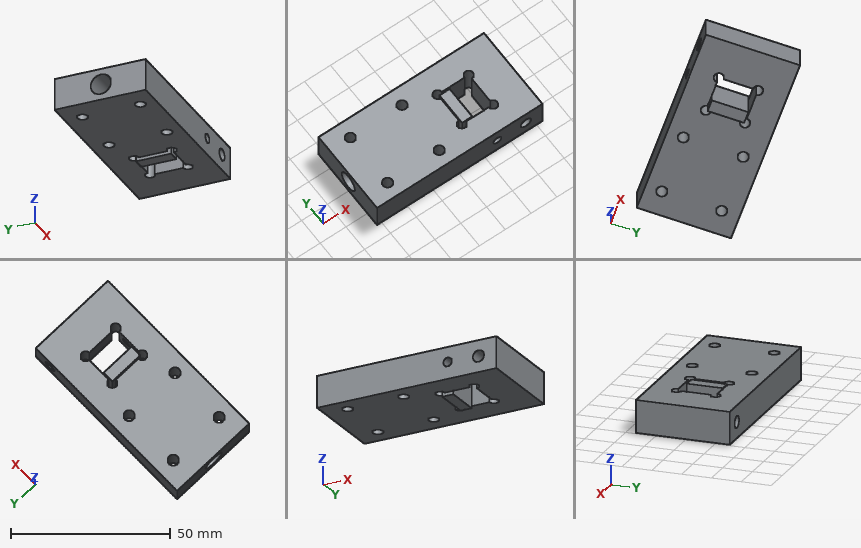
import cadquery as cq

LENGTH = 64.05
WIDTH = 31.45
HEIGHT = 11.0
MID_Z = HEIGHT / 2
AXIS_Y = 15.45

WINDOW_LENGTH = 12.05
WINDOW_WIDTH = 13.1
WINDOW_START_X = 39.3
WINDOW_X = WINDOW_START_X + WINDOW_LENGTH / 2
RELIEF_DIAMETER = 3.2

MOUNT_DIAMETER = 3.5
MOUNT_PITCH = 20.0
MOUNT_X = 18.0

BORE_DIAMETER = 7.0
BORE_DEPTH = 28.0
PASSAGE_DIAMETER = 3.0

SIDE_HOLE_DIAMETER = 3.0
SIDE_HOLE_X = 46.65
SIDE_HOLE_Z = 5.8
CROSS_HOLE_DIAMETER = 4.0
CROSS_HOLE_X = 57.65

SLIDER_THICKNESS = 4.0
SLIDER_WIDTH = 12.2
SLIDER_PROJECTION = 0.95
SLIDER_HEIGHT = 11.7
SLIDER_START_X = 39.65


def cylinder_x(diameter, length):
    """Cylinder along +X, starting at the -X end on the bore axis."""
    plane = cq.Plane.YZ(origin=(0, AXIS_Y, MID_Z))
    return cq.Workplane(plane).circle(diameter / 2).extrude(length)


def cylinder_y(diameter, x, z, length):
    """Cylinder along +Y, starting at the -Y side."""
    plane = cq.Plane.XZ(origin=(x, 0, z))
    return cq.Workplane(plane).circle(diameter / 2).extrude(-length)


def make_window():
    base = cq.Workplane("XY").center(WINDOW_X, AXIS_Y)
    opening = base.rect(WINDOW_LENGTH, WINDOW_WIDTH).extrude(HEIGHT)
    corners = base.rect(WINDOW_LENGTH, WINDOW_WIDTH, forConstruction=True).vertices()
    return opening.union(corners.circle(RELIEF_DIAMETER / 2).extrude(HEIGHT))


def make_mounting_holes():
    base = cq.Workplane("XY").center(MOUNT_X, AXIS_Y)
    centers = base.rect(MOUNT_PITCH, MOUNT_PITCH, forConstruction=True).vertices()
    return centers.circle(MOUNT_DIAMETER / 2).extrude(HEIGHT)


def make_housing():
    body = cq.Workplane("XY").box(LENGTH, WIDTH, HEIGHT, centered=False)
    body = body.cut(make_window())
    body = body.cut(make_mounting_holes())

    body = body.cut(cylinder_x(BORE_DIAMETER, BORE_DEPTH))
    body = body.cut(cylinder_x(PASSAGE_DIAMETER, WINDOW_X))

    body = body.cut(cylinder_y(SIDE_HOLE_DIAMETER, SIDE_HOLE_X, SIDE_HOLE_Z, AXIS_Y))
    return body.cut(cylinder_y(CROSS_HOLE_DIAMETER, CROSS_HOLE_X, MID_Z, WIDTH))


def make_slider():
    slider = cq.Workplane("XY").box(
        SLIDER_THICKNESS, SLIDER_WIDTH, SLIDER_HEIGHT, centered=False
    )
    return slider.translate((SLIDER_START_X, AXIS_Y - SLIDER_WIDTH / 2, -SLIDER_PROJECTION))


housing = make_housing()
slider = make_slider()

result = cq.Compound.makeCompound([housing.val(), slider.val()])